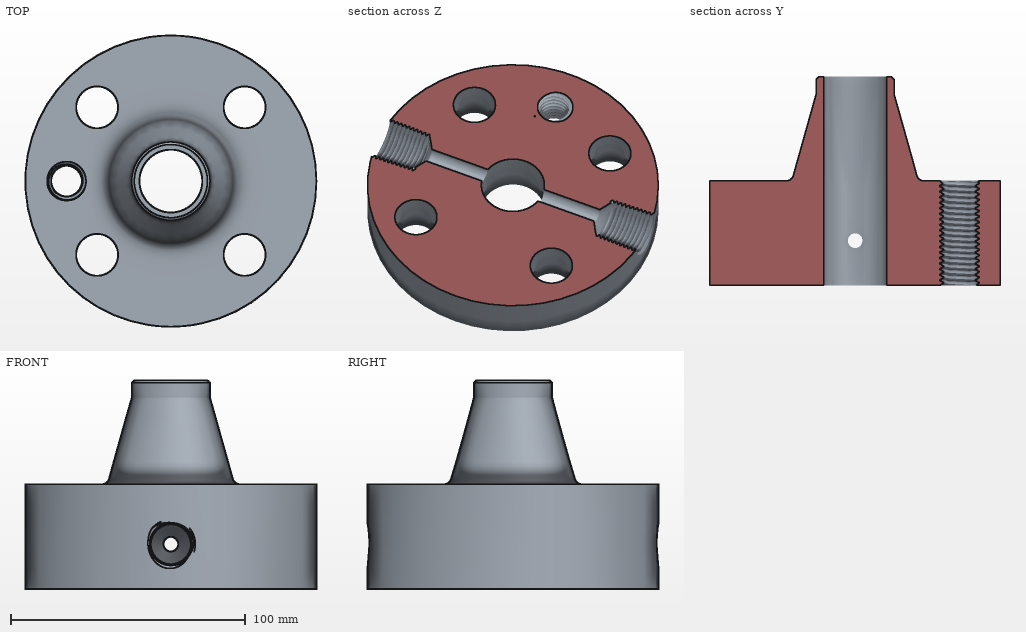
import cadquery as cq
import math

flange_diameter = 124.0
flange_thickness = 44.6
flange_radius = flange_diameter / 2

total_height = 88.9
pipe_diameter = 33.3
bore_diameter = 26.6
hub_base_diameter = 54.0
pipe_end_length = 7.4
hub_fillet = 3.0
weld_chamfer = 1.1

bolt_circle_diameter = 88.7
bolt_circle_radius = bolt_circle_diameter / 2
bolt_hole_diameter = 17.7
bolt_count = 4
bolt_start_angle = 45

jack_minor_diameter = 13.0
jack_major_diameter = 16.6
jack_pitch = 2.4

tap_height = 19.1
tap_depth = 19.8
tap_bottom_diameter = 17.0
tap_taper = 1 / 16
tap_pitch = 1.9
tap_thread_height = 1.4
tap_count = 2
cross_hole_diameter = 6.2
drill_point_angle = 118

thread_angle = 60
thread_overlap = 0.06
thread_overrun = 2
root_flat = 0.1


def flange_with_neck():
    """Revolved disc and conical neck, filleted where they meet and chamfered at the pipe end."""
    pipe_radius = pipe_diameter / 2
    hub_base_radius = hub_base_diameter / 2
    outline = (
        cq.Workplane("XZ")
        .moveTo(0, 0)
        .lineTo(flange_radius, 0)
        .lineTo(flange_radius, flange_thickness)
        .lineTo(hub_base_radius, flange_thickness)
        .lineTo(pipe_radius, total_height - pipe_end_length)
        .lineTo(pipe_radius, total_height)
        .lineTo(0, total_height)
        .close()
    )
    body = outline.revolve(360, (0, 0, 0), (0, 1, 0))
    second_largest = cq.selectors.RadiusNthSelector(-2)
    body = body.edges(second_largest).fillet(hub_fillet)
    return body.faces(">Z").edges().chamfer(weld_chamfer)


def helix_turn(pitch, radius, half_taper_angle):
    """One right-handed turn of a helix rising along Z, widening upwards when it has a taper."""
    if half_taper_angle == 0:
        return cq.Wire.makeHelix(pitch, pitch, radius)
    slant_pitch = pitch / math.cos(math.radians(half_taper_angle))
    return cq.Wire.makeHelix(slant_pitch, slant_pitch, radius, angle=half_taper_angle)


def groove_end(points):
    """Flat face closing one end of a thread groove."""
    return cq.Face.makeFromWires(cq.Wire.makePolygon(points, close=True))


def thread_groove(core_radius, pitch, turns, thread_height, half_taper_angle=0):
    """Solid helical V groove rising along Z, built from ruled faces one turn at a time."""
    root_half = root_flat / 2
    section_height = thread_overlap + thread_height
    mouth_half = root_half + section_height * math.tan(math.radians(thread_angle / 2))
    corners = [
        (-thread_overlap, -mouth_half),
        (thread_height, -root_half),
        (thread_height, root_half),
        (-thread_overlap, mouth_half),
    ]
    faces = []
    for turn in range(turns):
        rise = turn * pitch
        turn_radius = core_radius + rise * math.tan(math.radians(half_taper_angle))
        edges = []
        for depth, height in corners:
            edge = helix_turn(pitch, turn_radius + depth, half_taper_angle)
            edges.append(edge.translate(cq.Vector(0, 0, rise + height)))
        for edge, next_edge in zip(edges, edges[1:] + edges[:1]):
            faces.append(cq.Face.makeRuledSurface(edge, next_edge))
        if turn == 0:
            faces.append(groove_end([edge.startPoint() for edge in edges]))
        if turn == turns - 1:
            faces.append(groove_end([edge.endPoint() for edge in edges]))
    return cq.Workplane(obj=cq.Solid.makeSolid(cq.Shell.makeShell(faces)))


def cut_jack_screw_hole(body):
    """Cut a straight threaded hole through the flange, countersunk to its major diameter on top."""
    minor_radius = jack_minor_diameter / 2
    thread_height = (jack_major_diameter - jack_minor_diameter) / 2
    turns = math.ceil(flange_thickness / jack_pitch) + thread_overrun
    overrun = (turns * jack_pitch - flange_thickness) / 2
    core = cq.Workplane("XY").circle(minor_radius).extrude(flange_thickness)
    groove = thread_groove(minor_radius, jack_pitch, turns, thread_height)
    groove = groove.translate((0, 0, -overrun))
    countersink = (
        cq.Workplane("XY", origin=(0, 0, flange_thickness))
        .circle(jack_major_diameter / 2)
        .extrude(-thread_height, taper=45)
    )
    for cutter in (core, groove, countersink):
        body = body.cut(cutter.translate((-bolt_circle_radius, 0, 0)))
    return body


def cut_side_tap(body, turn):
    """Cut a tapered threaded hole with a drill point into the -Y side, turned about Z by an angle."""
    bottom_radius = tap_bottom_diameter / 2
    turns = math.ceil(tap_depth / tap_pitch) + thread_overrun
    length = turns * tap_pitch
    half_taper = tap_taper / 2
    mouth_radius = bottom_radius + length * half_taper
    point_depth = bottom_radius / math.tan(math.radians(drill_point_angle / 2))
    core = (
        cq.Workplane("XZ")
        .moveTo(0, -point_depth)
        .lineTo(bottom_radius, 0)
        .lineTo(mouth_radius, length)
        .lineTo(0, length)
        .close()
        .revolve(360, (0, 0, 0), (0, 1, 0))
    )
    half_taper_angle = math.degrees(math.atan(half_taper))
    groove = thread_groove(bottom_radius, tap_pitch, turns, tap_thread_height, half_taper_angle)
    for cutter in (core, groove):
        placed = cutter.rotate((0, 0, 0), (1, 0, 0), 90)
        placed = placed.translate((0, tap_depth - flange_radius, tap_height))
        body = body.cut(placed.rotate((0, 0, 0), (0, 0, 1), turn))
    return body


result = flange_with_neck()

result = result.cut(cq.Workplane("XY").circle(bore_diameter / 2).extrude(total_height))
bolt_holes = (
    cq.Workplane("XY")
    .polarArray(bolt_circle_radius, bolt_start_angle, 360, bolt_count)
    .circle(bolt_hole_diameter / 2)
    .extrude(flange_thickness)
)
result = result.cut(bolt_holes)
cross_hole = (
    cq.Workplane("XZ")
    .center(0, tap_height)
    .circle(cross_hole_diameter / 2)
    .extrude(flange_radius, both=True)
)
result = result.cut(cross_hole)

result = cut_jack_screw_hole(result)
for index in range(tap_count):
    result = cut_side_tap(result, index * 360 / tap_count)